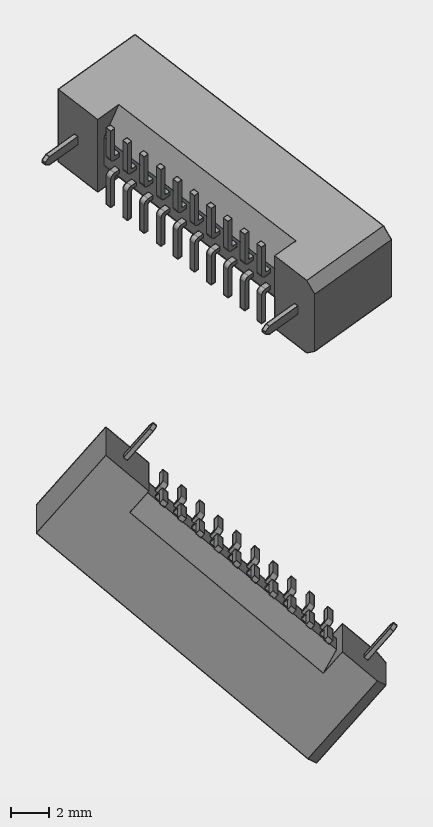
import cadquery as cq

total_length = 19.38
total_depth = 7.95
left_end = -9.67
housing_depth = 5.58
housing_height = 5.65
key_chamfer = 0.6

recess_length = 13.37
recess_depth = 1.53
ridge_setback = 0.47
ridge_taper_height = 1.75
crest_half_height = housing_height / 2 - ridge_taper_height

contacts_per_row = 10
contact_row_length = 11.4
contact_pitch = contact_row_length / (contacts_per_row - 1)
contact_width = 0.35
contact_thickness = 0.3
contact_overhang = 0.17
contact_span = 5.97
row_gap = 1.0
outer_bend_radius = 0.3
inner_bend_radius = 0.12

post_spacing = 16.63
post_width = 0.25
post_height = 0.64
post_reach = total_depth - housing_depth
post_tip_length = 0.3
post_tip_height = 0.17

root_depth = 0.39


def prism_along_x(profile, width):
    """Extrude a YZ profile symmetrically about X = 0."""
    return profile.extrude(width / 2, both=True)


def make_block():
    block = cq.Workplane("XY").box(
        total_length, housing_depth, housing_height, centered=(False, False, True)
    )
    block = block.translate((left_end, 0, 0))
    return block.edges("|Y and >X").chamfer(key_chamfer)


def make_recess():
    """Space between the end walls, in front of the tapered ridge."""
    half_height = housing_height / 2
    profile = cq.Workplane("YZ").polyline([
        (0, half_height),
        (recess_depth, half_height),
        (ridge_setback, crest_half_height),
        (ridge_setback, -crest_half_height),
        (recess_depth, -half_height),
        (0, -half_height),
    ]).close()
    return prism_along_x(profile, recess_length)


def make_upper_contact():
    """L-shaped contact: a leg out of the ridge, bent upwards."""
    outer_y = -contact_overhang
    inner_y = outer_y + contact_thickness
    root_y = ridge_setback + root_depth
    bottom_z = row_gap / 2
    leg_top_z = bottom_z + contact_thickness
    tip_z = contact_span / 2
    profile = cq.Workplane("YZ").polyline([
        (root_y, bottom_z),
        (outer_y, bottom_z),
        (outer_y, tip_z),
        (inner_y, tip_z),
        (inner_y, leg_top_z),
        (root_y, leg_top_z),
    ]).close()
    contact = prism_along_x(profile, contact_width)
    outer_corner = cq.selectors.NearestToPointSelector((0, outer_y, bottom_z))
    inner_corner = cq.selectors.NearestToPointSelector((0, inner_y, leg_top_z))
    contact = contact.edges("|X").edges(outer_corner).fillet(outer_bend_radius)
    return contact.edges("|X").edges(inner_corner).fillet(inner_bend_radius)


def make_post():
    """Flat post with a tapered, blunt tip."""
    shoulder_y = post_tip_length - post_reach
    profile = cq.Workplane("YZ").polyline([
        (root_depth, post_height / 2),
        (shoulder_y, post_height / 2),
        (-post_reach, post_tip_height / 2),
        (-post_reach, -post_tip_height / 2),
        (shoulder_y, -post_height / 2),
        (root_depth, -post_height / 2),
    ]).close()
    return prism_along_x(profile, post_width)


connector = make_block().cut(make_recess())

upper_contact = make_upper_contact()
lower_contact = upper_contact.mirror("XY")
first_contact_x = -contact_row_length / 2
for index in range(contacts_per_row):
    contact_x = first_contact_x + index * contact_pitch
    for contact in (upper_contact, lower_contact):
        connector = connector.union(contact.translate((contact_x, 0, 0)))

post = make_post()
for side in (-1, 1):
    connector = connector.union(post.translate((side * post_spacing / 2, 0, 0)))

result = cq.Compound.makeCompound([connector.val()])